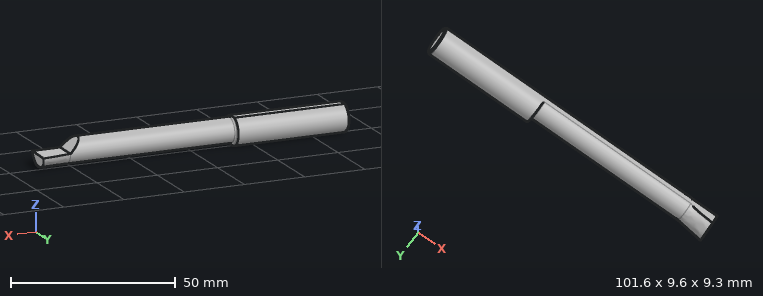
import cadquery as cq
import math

length = 101.6

shank_radius = 4.8
shank_length = 37.0
flat_height = 4.5
end_chamfer = 0.4

neck_radius = 4.1
neck_offset = -0.9
root_fillet = 0.5

tip_start = 92.0
tip_reach = 4.42
front_relief = 0.3
lower_relief = 0.5
cut_margin = 2.0


def cylinder(radius, start, end, y=0):
    return cq.Workplane("YZ", origin=(start, y, 0)).circle(radius).extrude(end - start)


def make_shank():
    return cylinder(shank_radius, 0, shank_length).faces("<X").chamfer(end_chamfer)


def make_flat_cut():
    size = 2 * shank_radius
    return cq.Workplane("XY", origin=(0, 0, flat_height)).rect(2 * length, size).extrude(size)


def make_neck():
    neck = cylinder(neck_radius, shank_length, length, neck_offset)
    arc_drop = root_fillet * (1 - math.sqrt(0.5))
    flare = (
        cq.Workplane("XY", origin=(shank_length, neck_offset, 0))
        .lineTo(0, neck_radius + root_fillet)
        .threePointArc((arc_drop, neck_radius + arc_drop), (root_fillet, neck_radius))
        .lineTo(root_fillet, 0)
        .close()
        .revolve(360, (0, 0, 0), (1, 0, 0))
    )
    rise = shank_radius + cut_margin
    ramp_cut = (
        cq.Workplane("XZ", origin=(0, shank_radius + cut_margin, 0))
        .polyline([(tip_start, 0), (length, 0), (length, rise), (tip_start - rise, rise)])
        .close()
        .extrude(2 * (shank_radius + cut_margin))
    )
    return neck.union(flare).cut(ramp_cut)


def make_tip_flare():
    tip_half_width = tip_reach - neck_offset
    sections = (
        cq.Workplane("YZ", origin=(tip_start, neck_offset, 0))
        .ellipse(neck_radius, neck_radius)
        .workplane(offset=length - tip_start)
        .ellipse(tip_half_width, neck_radius)
        .loft(ruled=True)
    )
    upper_half = cq.Workplane("XY").box(2 * length, length, length, centered=(True, True, False))
    return sections.cut(upper_half)


def make_relief_cut():
    y_slope = front_relief / (tip_reach + shank_radius)
    y_low = -shank_radius - cut_margin
    y_high = tip_reach + cut_margin
    depth = neck_radius + cut_margin
    low_setback = lower_relief * depth / neck_radius

    def outline(setback):
        edge = length - setback
        return [
            (edge + y_slope * (y_low - tip_reach), y_low),
            (edge + y_slope * (y_high - tip_reach), y_high),
            (edge + cut_margin, y_high),
            (edge + cut_margin, y_low),
        ]

    return (
        cq.Workplane("XY")
        .polyline(outline(0))
        .close()
        .workplane(offset=-depth)
        .polyline(outline(low_setback))
        .close()
        .loft(ruled=True)
    )


envelope = cylinder(shank_radius, 0, length)
neck_and_tip = make_neck().union(make_tip_flare()).intersect(envelope)
result = make_shank().union(neck_and_tip).cut(make_flat_cut()).cut(make_relief_cut())